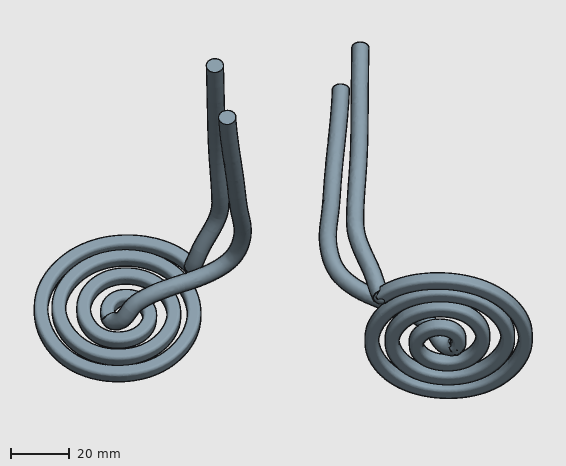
import cadquery as cq
import math

BAR_SIZE = 4.7
BAR_CORNER = 1.1
COIL_START_ANGLE = 103
COIL_START_RADIUS = 29.3
COIL_RADII = [
    29.2, 27.9, 28.1, 27.8, 25.9, 24.0,
    22.5, 21.9, 22.1, 20.8, 18.9, 17.1,
    15.1, 14.2, 13.7, 13.3, 11.1, 8.8,
    6.9, 6.0, 5.5,
]
COIL_RADII_START_ANGLE = 120
COIL_RADII_STEP = 60
COIL_END_ANGLE = 1367
COIL_END_RADIUS = 5.4
TURN_SINK = 0.1
INNER_TURN_DROP = 1.1
DROP_START_ANGLE = 990
DROP_END_ANGLE = 1170

COIL_PIECES = 24
LEG_PIECES = 12

LEG_DIAMETER = 5.9
ELBOW_RADIUS = 2.7
LEG_LEAD_IN_ANGLE = 15
LEG_START_RISE = 0.5
OUTER_LEG_TOP = 107.1
INNER_LEG_TOP = 106.8

OUTER_LEG_BENDS = [
    (-6.3, 29.5, 3.0),
    (-7.1, 32.4, 9.0),
    (-8.1, 36.5, 15.1),
    (-8.9, 39.7, 21.5),
    (-8.9, 40.2, 28.9),
    (-10.3, 39.9, 51.7),
    (-9.7, 38.9, 82.2),
]
OUTER_LEG_END = (-9.2, 38.3, OUTER_LEG_TOP)
INNER_LEG_BENDS = [
    (4.8, -2.4, 2.4),
    (4.7, 1.1, 7.0),
    (4.9, 7.7, 10.2),
    (5.7, 16.8, 11.5),
    (6.7, 28.9, 12.9),
    (7.0, 37.1, 17.1),
    (7.3, 40.4, 25.0),
    (9.7, 38.9, 45.5),
    (11.0, 36.9, 64.0),
]
INNER_LEG_END = (12.1, 33.1, INNER_LEG_TOP)


def coil_height(angle):
    sink = TURN_SINK * (angle - COIL_START_ANGLE) / 360
    drop_share = (angle - DROP_START_ANGLE) / (DROP_END_ANGLE - DROP_START_ANGLE)
    drop_share = min(max(drop_share, 0), 1)
    ease = (1 - math.cos(math.pi * drop_share)) / 2
    return -sink - INNER_TURN_DROP * ease


def coil_point(angle, radius):
    turn = math.radians(angle)
    return cq.Vector(radius * math.cos(turn), radius * math.sin(turn), coil_height(angle))


def split_path(curve, pieces):
    """Cut a smooth curve into short joined edges, so its sweep has short faces that unite quickly."""
    first, last = curve._bounds()
    span = (last - first) / pieces
    edges = [curve.trim(first + span * index, first + span * (index + 1)) for index in range(pieces)]
    return cq.Wire.assembleEdges(edges)


def make_coil():
    points = [coil_point(COIL_START_ANGLE, COIL_START_RADIUS)]
    for step, radius in enumerate(COIL_RADII):
        points.append(coil_point(COIL_RADII_START_ANGLE + COIL_RADII_STEP * step, radius))
    points.append(coil_point(COIL_END_ANGLE, COIL_END_RADIUS))
    path = cq.Edge.makeSpline(points)
    section_plane = cq.Plane(points[0], xDir=(0, 0, 1), normal=path.tangentAt(0))
    section = cq.Sketch().rect(BAR_SIZE, BAR_SIZE).vertices().fillet(BAR_CORNER).reset()
    outline = section.faces().val().outerWire().moved(section_plane.location)
    coil = cq.Solid.sweep(outline, [], split_path(path, COIL_PIECES), isFrenet=True)
    return cq.Workplane(coil)


def make_leg(start_points, bends, end):
    points = start_points + [cq.Vector(point) for point in bends + [end]]
    path = cq.Edge.makeSpline(points)
    section_plane = cq.Plane(points[0], normal=path.tangentAt(0))
    return cq.Workplane(section_plane).circle(LEG_DIAMETER / 2).sweep(split_path(path, LEG_PIECES))


def make_outer_leg():
    start = coil_point(COIL_START_ANGLE, COIL_START_RADIUS)
    leg = make_leg([start], OUTER_LEG_BENDS, OUTER_LEG_END)
    elbow = cq.Workplane("XY").sphere(ELBOW_RADIUS).translate(start)
    return leg.union(elbow)


def make_inner_leg():
    rise = cq.Vector(0, 0, LEG_START_RISE)
    lead_in = coil_point(COIL_END_ANGLE - LEG_LEAD_IN_ANGLE, COIL_END_RADIUS) + rise
    start = coil_point(COIL_END_ANGLE, COIL_END_RADIUS) + rise
    return make_leg([lead_in, start], INNER_LEG_BENDS, INNER_LEG_END)


result = make_coil().union(make_outer_leg()).union(make_inner_leg())